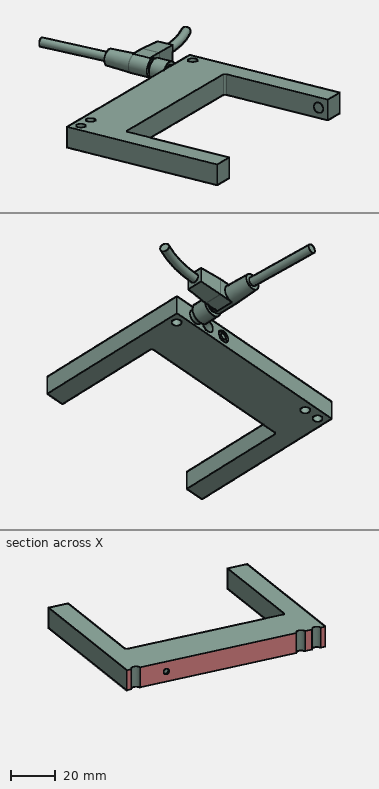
import cadquery as cq
import math

housing_length = 80.0
housing_width = 100.0
housing_thickness = 10.0
back_width = 25.0
arm_width = 9.9
inner_corner_radius = 1.0

mount_diameter = 4.4
mount_inset = 4.5
second_mount_y = 12.5

socket_diameter = 6.5
socket_depth = 4.0
socket_y = 80.0
socket_pilot_diameter = 2.5
socket_pilot_depth = 1.5
ring_recess_diameter = 6.0
ring_recess_depth = 1.0
ring_pin_diameter = 3.0
ring_recess_y = 70.0

lens_diameter = 5.0
lens_depth = 1.5
lens_tip_distance = 5.0
lens_x = housing_length - lens_tip_distance
upper_arm_inner_y = housing_width - arm_width

plug_axis_y = 88.2
stub_diameter = 7.0
nut_diameter = 10.0
neck_diameter = 6.0
plug_diameter = 9.0
plug_tail_diameter = 8.0
nut_front_x = -3.0
nut_rear_x = -10.7
plug_front_x = -12.2
taper_front_x = -22.1
plug_tail_x = -35.1

cable_diameter = 4.4
cable_radius = cable_diameter / 2
cable_tilt = 3.0
cable_embed = 1.5
overall_length = 150.2
cable_end_x = housing_length - overall_length

block_x = -18.0
block_size = plug_diameter
block_end_size = plug_tail_diameter
block_straight_length = 7.7
block_length = 19.4
block_end_y = plug_axis_y + block_length
bend_radius = 63.1
bent_cable_top_y = 133.1


def x_cylinder(diameter, start_x, end_x, y):
    """Cylinder along X between two stations, at mid-thickness."""
    return cq.Workplane("YZ", origin=(start_x, y, 0)).circle(diameter / 2).extrude(end_x - start_x)


def make_lens():
    plane = cq.Workplane("XZ", origin=(lens_x, upper_arm_inner_y, 0))
    return plane.circle(lens_diameter / 2).extrude(-lens_depth)


def make_housing(lens):
    plate = cq.Workplane("XY").box(
        housing_length, housing_width, housing_thickness, centered=(False, False, True)
    )
    gap_length = housing_length - back_width
    gap = (
        cq.Workplane("XY", origin=(back_width, arm_width, 0))
        .box(gap_length, housing_width - 2 * arm_width, housing_thickness, centered=(False, False, True))
        .edges("|Z and <X")
        .fillet(inner_corner_radius)
    )
    mount_points = [
        (mount_inset, mount_inset),
        (mount_inset, second_mount_y),
        (mount_inset, housing_width - mount_inset),
    ]
    mount_holes = (
        cq.Workplane("XY", origin=(0, 0, -housing_thickness / 2))
        .pushPoints(mount_points)
        .circle(mount_diameter / 2)
        .extrude(housing_thickness)
    )
    socket = x_cylinder(socket_diameter, 0, socket_depth, socket_y)
    pilot = x_cylinder(socket_pilot_diameter, socket_depth, socket_depth + socket_pilot_depth, socket_y)
    ring_recess = x_cylinder(ring_recess_diameter, 0, ring_recess_depth, ring_recess_y).cut(
        x_cylinder(ring_pin_diameter, 0, ring_recess_depth, ring_recess_y)
    )
    return plate.cut(gap).cut(mount_holes).cut(socket).cut(pilot).cut(ring_recess).cut(lens)


def make_block():
    """Angled plug's block: a straight seat, then a square taper."""
    seat = cq.Workplane("XZ", origin=(block_x, plug_axis_y, 0)).rect(block_size, block_size)
    seat = seat.extrude(-block_straight_length)
    taper = (
        cq.Workplane("XZ", origin=(block_x, block_end_y, 0))
        .rect(block_end_size, block_end_size)
        .workplane(offset=block_length - block_straight_length)
        .rect(block_size, block_size)
        .loft(ruled=True)
    )
    return seat.union(taper)


def make_angled_plug():
    bend_angle = math.asin((bent_cable_top_y - block_end_y) / (bend_radius + cable_radius))
    cable = (
        cq.Workplane("XZ", origin=(block_x, block_end_y, 0))
        .circle(cable_radius)
        .revolve(math.degrees(bend_angle), (-bend_radius, 0, 0), (-bend_radius, 1, 0))
    )
    return make_block().union(cable)


def make_straight_plug():
    outline = [
        (0, 0),
        (0, stub_diameter / 2),
        (nut_front_x, stub_diameter / 2),
        (nut_front_x, nut_diameter / 2),
        (nut_rear_x, nut_diameter / 2),
        (nut_rear_x, neck_diameter / 2),
        (plug_front_x, neck_diameter / 2),
        (plug_front_x, plug_diameter / 2),
        (taper_front_x, plug_diameter / 2),
        (plug_tail_x, plug_tail_diameter / 2),
        (plug_tail_x, 0),
    ]
    plug = (
        cq.Workplane("XY", origin=(0, plug_axis_y, 0))
        .polyline(outline)
        .close()
        .revolve(360, (0, 0, 0), (1, 0, 0))
    )
    tilt = math.radians(cable_tilt)
    cable_reach = plug_tail_x - cable_end_x - cable_radius * math.sin(tilt)
    cable = (
        x_cylinder(cable_diameter, cable_embed, -cable_reach / math.cos(tilt), 0)
        .rotate((0, 0, 0), (0, 0, 1), cable_tilt)
        .translate((plug_tail_x, plug_axis_y, 0))
    )
    return plug.union(cable).cut(make_block())


lens = make_lens()
housing = make_housing(lens)
straight_plug = make_straight_plug()
angled_plug = make_angled_plug()

result = cq.Compound.makeCompound(
    [housing.val(), lens.val(), straight_plug.val(), angled_plug.val()]
)